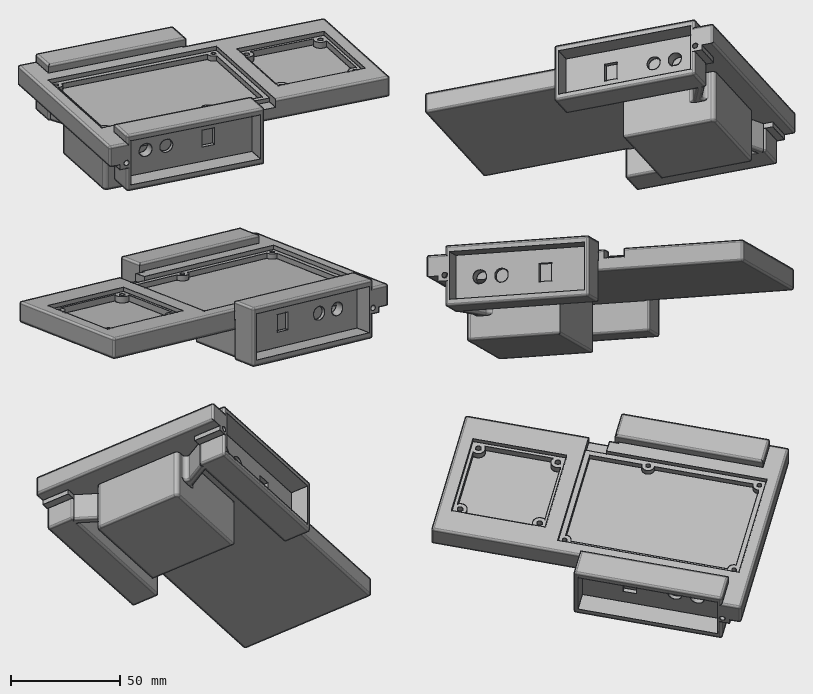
import cadquery as cq
import math

plate_thickness = 10.0
plate_length = 148.45
body_width = 70.0
overall_width = 98.0
edge_radius = 1.0

side_box_width = (overall_width - body_width) / 2
side_box_front = 9.0
side_box_back = 78.45
side_box_top = plate_thickness + 4.0
side_box_bottom = -14.25
opening_depth = 9.0
opening_end_wall = 2.0
opening_bottom_wall = 3.0
opening_height = 22.25
box_overlap = 3.0

port_height = 0.25
port_diameter = 6.5
blind_port_y = 33.1
through_port_y = 22.6
blind_depth = 2.0
window_y = 54.3
window_length = 6.2
window_height = 8.5

lug_front = 5.4
lug_bottom = -2.5
lug_top = 3.0
lug_hole_diameter = 2.53
lug_hole_y = 8.75
lug_hole_depth = 5.0

lower_box_width = 45.0
lower_box_length = 45.4
lower_box_front = 10.0
lower_box_bottom = -25.25
lower_box_corner_radius = 2.0

strut_front = 10.0
strut_angle = 29.0
strut_thickness = 3.5
strut_front_radius = 2.0
strut_back_radius = 3.0

large_pocket_width = 57.0
large_pocket_length = 85.0
large_pocket_front = 5.75
large_ledge_width = 2.5
large_ledge_depth = 2.0
large_pocket_depth = 4.5
large_boss_radius = 3.0
large_hole_diameter = 2.08
large_hole_x = 25.9
large_hole_rows = (8.6, 60.8, 88.1)

small_pocket_size = 44.0
small_pocket_center_y = 120.1
small_ledge_width = 1.5
small_ledge_depth = 2.0
small_pocket_depth = 5.0
small_boss_radius = 3.25
small_hole_diameter = 2.53
small_hole_spacing = 37.3

screw_hole_depth = 4.0

notch_length = 9.85
notch_depth = 4.0


def block(x_range, y_range, z_range):
    """Axis-aligned block given by its lower and upper limits."""
    (x0, x1), (y0, y1), (z0, z1) = x_range, y_range, z_range
    return cq.Workplane("XY").box(x1 - x0, y1 - y0, z1 - z0, centered=False).translate((x0, y0, z0))


def mirrored(shape):
    """The shape together with its mirror image across the YZ plane."""
    return shape.union(shape.mirror("YZ"))


def cylinder_z(x, y, top, diameter, depth):
    """Upright cylinder going down from the given height."""
    return cq.Workplane("XY", origin=(x, y, top)).circle(diameter / 2).extrude(-depth)


def cylinder_x(x, y, z, diameter, depth):
    """Cylinder along +X starting at the given point."""
    return cq.Workplane("YZ", origin=(x, y, z)).circle(diameter / 2).extrude(depth)


def make_plate():
    """Narrow body joined to a full-width foot that carries the side boxes."""
    foot = block(
        (-overall_width / 2, overall_width / 2),
        (0, side_box_back - opening_end_wall / 2),
        (0, plate_thickness),
    )
    body = block(
        (-body_width / 2, body_width / 2),
        (side_box_front, plate_length),
        (0, plate_thickness),
    )
    foot = foot.edges("not (<Z and |Y)").fillet(edge_radius)
    return foot.union(body.edges().fillet(edge_radius))


def make_side_box():
    """Left side box, before its opening and ports are cut.

    Its inner vertical edges are rounded below the plate and sharp above it.
    """
    x_range = (-overall_width / 2, -body_width / 2)
    y_range = (side_box_front, side_box_back)
    mid_z = plate_thickness / 2
    lower = block(x_range, y_range, (side_box_bottom, mid_z))
    lower = lower.edges("|Z or <Z").fillet(edge_radius)
    upper = block(x_range, y_range, (mid_z, side_box_top))
    upper = upper.edges("(|Z and <X) or >Z").fillet(edge_radius)
    return lower.union(upper)


def make_lug():
    return block(
        (-overall_width / 2, -body_width / 2),
        (lug_front, side_box_front + box_overlap),
        (lug_bottom, lug_top),
    )


def make_lower_box():
    half = lower_box_width / 2
    box = block(
        (-half, half),
        (lower_box_front, lower_box_front + lower_box_length),
        (lower_box_bottom, plate_thickness / 2),
    )
    return box.edges("|Z and <Y").fillet(lower_box_corner_radius).faces("<Z").edges().fillet(edge_radius)


def make_strut():
    """Left strut with fillets where it meets the flank of the lower box."""
    root_x = -lower_box_width / 2
    outer_x = -body_width / 2 - box_overlap
    inner_x = root_x + box_overlap
    slope = math.tan(math.radians(strut_angle))
    thickness_y = strut_thickness / math.cos(math.radians(strut_angle))

    root_y = strut_front + (root_x + body_width / 2) * slope
    stub_front = lower_box_front + 2 * lower_box_corner_radius - edge_radius
    stub_back = root_y + thickness_y + 2 * strut_back_radius
    outline = [
        (outer_x, strut_front),
        (-body_width / 2, strut_front),
        (root_x, root_y),
        (root_x, stub_front),
        (inner_x, stub_front),
        (inner_x, stub_back),
        (root_x, stub_back),
        (root_x, root_y + thickness_y),
        (-body_width / 2, strut_front + thickness_y),
        (outer_x, strut_front + thickness_y),
    ]
    strut = cq.Workplane("XY", origin=(0, 0, side_box_bottom)).polyline(outline).close()
    strut = strut.extrude(edge_radius - side_box_bottom)
    mid_z = (edge_radius + side_box_bottom) / 2
    strut = strut.edges(cq.NearestToPointSelector((root_x, root_y, mid_z))).fillet(strut_front_radius)
    back_corner = (root_x, root_y + thickness_y, mid_z)
    strut = strut.edges(cq.NearestToPointSelector(back_corner)).fillet(strut_back_radius)
    return strut.faces("<Z").edges().fillet(edge_radius)


def make_side_cuts():
    """Opening, window, ports and lug hole of the left side box."""
    outer_x = -overall_width / 2
    floor_x = outer_x + opening_depth
    opening_bottom = side_box_bottom + opening_bottom_wall
    cuts = block(
        (outer_x, floor_x),
        (side_box_front + opening_end_wall, side_box_back - opening_end_wall),
        (opening_bottom, opening_bottom + opening_height),
    )
    window = block(
        (floor_x, floor_x + blind_depth),
        (window_y - window_length / 2, window_y + window_length / 2),
        (port_height - window_height / 2, port_height + window_height / 2),
    )
    wall_thickness = side_box_width - opening_depth
    blind_port = cylinder_x(floor_x, blind_port_y, port_height, port_diameter, blind_depth)
    through_port = cylinder_x(floor_x, through_port_y, port_height, port_diameter, wall_thickness)
    lug_hole = cylinder_x(outer_x, lug_hole_y, port_height, lug_hole_diameter, lug_hole_depth)
    return cuts.union(window).union(blind_port).union(through_port).union(lug_hole)


def make_pocket(width, front, length, ledge_width, ledge_depth, depth, bosses, boss_radius, hole_diameter):
    """Stepped pocket whose screw bosses stand level with the ledge."""
    half = width / 2
    ledge_z = plate_thickness - ledge_depth
    upper = block((-half, half), (front, front + length), (ledge_z, plate_thickness))
    well = block(
        (-half + ledge_width, half - ledge_width),
        (front + ledge_width, front + length - ledge_width),
        (plate_thickness - depth, ledge_z),
    )
    for x, y in bosses:
        well = well.cut(cylinder_z(x, y, ledge_z, 2 * boss_radius, depth - ledge_depth))
    pocket = upper.union(well)
    for x, y in bosses:
        pocket = pocket.union(cylinder_z(x, y, ledge_z, hole_diameter, screw_hole_depth))
    return pocket


def make_large_pocket():
    front_row, middle_row, back_row = large_hole_rows
    bosses = [
        (-large_hole_x, front_row),
        (large_hole_x, front_row),
        (large_hole_x, middle_row),
        (-large_hole_x, back_row),
    ]
    return make_pocket(
        large_pocket_width, large_pocket_front, large_pocket_length, large_ledge_width,
        large_ledge_depth, large_pocket_depth, bosses, large_boss_radius, large_hole_diameter,
    )


def make_small_pocket():
    offset = small_hole_spacing / 2
    bosses = [(sx * offset, small_pocket_center_y + sy * offset) for sx in (-1, 1) for sy in (-1, 1)]
    return make_pocket(
        small_pocket_size, small_pocket_center_y - small_pocket_size / 2, small_pocket_size,
        small_ledge_width, small_ledge_depth, small_pocket_depth, bosses,
        small_boss_radius, small_hole_diameter,
    )


def make_cable_notch():
    back = large_pocket_front + large_pocket_length
    return block(
        (large_pocket_width / 2, body_width / 2),
        (back - notch_length, back),
        (plate_thickness - notch_depth, plate_thickness),
    )


result = make_plate().union(make_lower_box())
for side_part in (make_side_box(), make_lug(), make_strut()):
    result = result.union(mirrored(side_part))
side_cuts = make_side_cuts()
result = result.cut(side_cuts).cut(side_cuts.mirror("YZ"))
result = result.cut(make_large_pocket()).cut(make_small_pocket()).cut(make_cable_notch())